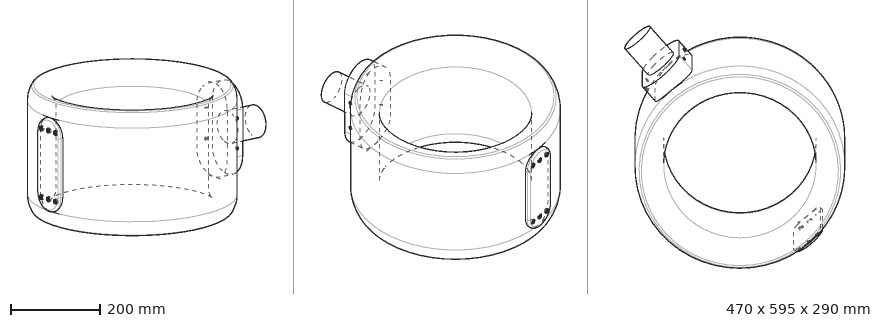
import cadquery as cq
import math

RING_RADIUS = 235.0
RING_HEIGHT = 290.0
BORE_DIAMETER = 341.0
BORE_FLARE_RADIUS = 50.0
RIM_RADIUS = 6.0
SHOULDER_HEIGHT = 36.0

BLOCK_WIDTH = 109.0
BLOCK_FACE_Y = 273.0
PIPE_DIAMETER = 75.0
PIPE_END_Y = 353.5
OVERALL_LENGTH = 595

SIDE_SCREW_DIAMETER = 8.0
SIDE_SCREW_PROJECTION = 1.0
SIDE_SOCKET_DIAMETER = 3.5
SIDE_SOCKET_DEPTH = 2.5
SIDE_SCREW_Y = 256.0
SIDE_SCREW_Z = 35.0

COVER_WIDTH = 80.5
COVER_FACE_Y = PIPE_END_Y - OVERALL_LENGTH
COVER_EDGE_RADIUS = 5.0

SCREW_RECESS_DIAMETER = 11.5
SCREW_HEAD_DIAMETER = 10.0
SCREW_SOCKET_DIAMETER = 3.5
SCREW_RECESS_DEPTH = 3.5
SCREW_SOCKET_DEPTH = 2.5
SCREW_X = 25.0
SCREW_Z = 80.0

half_height = RING_HEIGHT / 2
straight_half_height = half_height - SHOULDER_HEIGHT
attachment_height = 2 * straight_half_height
bore_radius = BORE_DIAMETER / 2

rim_r = bore_radius + BORE_FLARE_RADIUS
rim_center_z = half_height - RIM_RADIUS
rim_rise = rim_center_z - straight_half_height
rim_inset = RING_RADIUS - rim_r
shoulder_radius = (rim_inset**2 + rim_rise**2 - RIM_RADIUS**2) / (2 * (rim_inset - RIM_RADIUS))
shoulder_center_r = RING_RADIUS - shoulder_radius
meet_angle = math.atan2(rim_rise, rim_r - shoulder_center_r)


def xz_plane(y):
    """Plane at the given Y whose local X and Y are the part's X and Z, facing -Y."""
    return cq.Workplane("XZ", origin=(0, y, 0))


def upright_slot(y, width, height):
    return xz_plane(y).slot2D(height, width, 90)


def arc_point(center, radius, angle):
    return (center[0] + radius * math.cos(angle), center[1] + radius * math.sin(angle))


def make_ring():
    flare_center = (rim_r, half_height - BORE_FLARE_RADIUS)
    rim_center = (rim_r, rim_center_z)
    shoulder_center = (shoulder_center_r, straight_half_height)
    upper_half = (
        cq.Workplane("XZ")
        .moveTo(bore_radius, 0)
        .lineTo(bore_radius, flare_center[1])
        .threePointArc(
            arc_point(flare_center, BORE_FLARE_RADIUS, math.radians(135)),
            (rim_r, half_height),
        )
        .threePointArc(
            arc_point(rim_center, RIM_RADIUS, (math.pi / 2 + meet_angle) / 2),
            arc_point(rim_center, RIM_RADIUS, meet_angle),
        )
        .threePointArc(
            arc_point(shoulder_center, shoulder_radius, meet_angle / 2),
            (RING_RADIUS, straight_half_height),
        )
        .lineTo(RING_RADIUS, 0)
        .close()
        .revolve(360, (0, 0, 0), (0, 1, 0))
    )
    return upper_half.union(upper_half.mirror("XY")).clean()


def side_cylinders(diameter, half_length):
    """Cylinders along X at both side screw places, reaching equally far to -X and +X."""
    return (
        cq.Workplane("YZ")
        .pushPoints([(SIDE_SCREW_Y, -SIDE_SCREW_Z), (SIDE_SCREW_Y, SIDE_SCREW_Z)])
        .circle(diameter / 2)
        .extrude(half_length, both=True)
    )


def make_connection():
    side_screw_face = BLOCK_WIDTH / 2 + SIDE_SCREW_PROJECTION
    inner_y = (bore_radius + RING_RADIUS) / 2
    block = upright_slot(BLOCK_FACE_Y, BLOCK_WIDTH, attachment_height).extrude(BLOCK_FACE_Y - inner_y)
    pipe = xz_plane(PIPE_END_Y).circle(PIPE_DIAMETER / 2).extrude(PIPE_END_Y - inner_y)
    screws = side_cylinders(SIDE_SCREW_DIAMETER, side_screw_face)
    sockets = side_cylinders(SIDE_SOCKET_DIAMETER, side_screw_face)
    sockets = sockets.cut(side_cylinders(SIDE_SOCKET_DIAMETER, side_screw_face - SIDE_SOCKET_DEPTH))
    return block.union(pipe).union(screws).cut(sockets)


def make_cover():
    inner_y = -(bore_radius + RING_RADIUS) / 2
    plate = upright_slot(inner_y, COVER_WIDTH, attachment_height).extrude(inner_y - COVER_FACE_Y)
    plate = plate.faces("<Y").edges().fillet(COVER_EDGE_RADIUS)
    spots = [(x, z) for x in (-SCREW_X, 0, SCREW_X) for z in (-SCREW_Z, SCREW_Z)]

    def cylinders(diameter, depth):
        return xz_plane(COVER_FACE_Y).pushPoints(spots).circle(diameter / 2).extrude(-depth)

    plate = plate.cut(cylinders(SCREW_RECESS_DIAMETER, SCREW_RECESS_DEPTH))
    plate = plate.union(cylinders(SCREW_HEAD_DIAMETER, SCREW_RECESS_DEPTH))
    return plate.cut(cylinders(SCREW_SOCKET_DIAMETER, SCREW_SOCKET_DEPTH))


result = make_ring().union(make_connection()).union(make_cover())